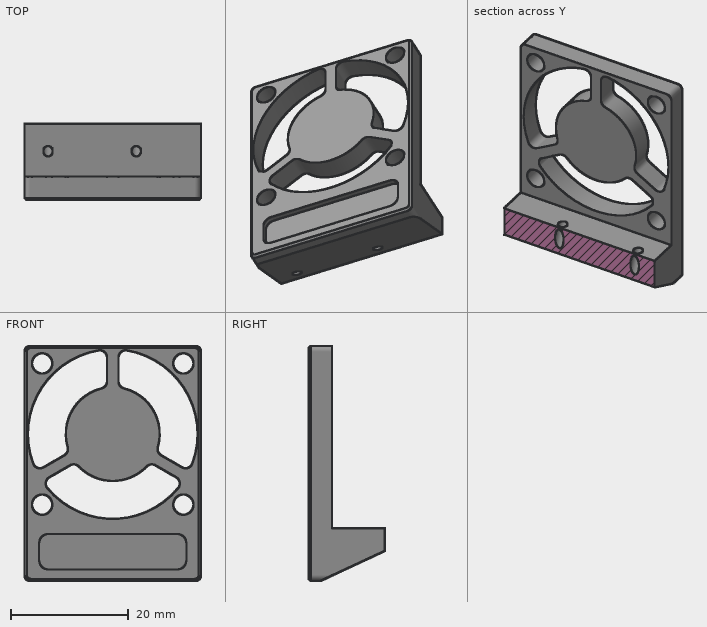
import cadquery as cq
import math

plate_width = 30.0
plate_height = 40.0
plate_thickness = 4.0
corner_radius = 1.0
front_chamfer = 0.4

fan_center_z = 25.0
fan_hole_pitch = 24.0
fan_hole_diameter = 3.4
opening_radius = 14.4
hub_radius = 8.0
spoke_width = 2.0
spoke_angles = (90, 210, 330)
opening_fillet = 1.2

panel_width = 25.0
panel_height = 6.0
panel_center_z = 5.0
panel_depth = 1.0
panel_corner_radius = 1.5

shelf_back_y = 13.0
shelf_top_z = 9.0
slope_start_y = 2.0
slope_angle = 25.0

screw_hole_diameter = 1.6
screw_hole_x = (-11.0, 4.0)
screw_hole_y = 8.3


def slope_z(y):
    """Height of the sloped underside at depth y."""
    return (y - slope_start_y) * math.tan(math.radians(slope_angle))


def front_plane(z):
    """Sketch plane on the front face, facing into the part; its local x is -X."""
    return cq.Workplane(cq.Plane(origin=(0, 0, z), xDir=(-1, 0, 0), normal=(0, 1, 0)))


def make_plate():
    plate = front_plane(plate_height / 2).rect(plate_width, plate_height).extrude(plate_thickness)
    plate = plate.edges("|Y").fillet(corner_radius)
    plate = plate.faces("<Y").chamfer(front_chamfer)
    return plate.cut(make_underside_cut())


def make_underside_cut():
    """Wedge below the sloped underside, across the full width of the plate."""
    return (
        cq.Workplane("YZ")
        .moveTo(slope_start_y, 0)
        .lineTo(shelf_back_y, slope_z(shelf_back_y))
        .lineTo(shelf_back_y, 0)
        .close()
        .extrude(plate_width / 2, both=True)
    )


def make_shelf():
    return (
        cq.Workplane("YZ")
        .moveTo(plate_thickness, slope_z(plate_thickness))
        .lineTo(shelf_back_y, slope_z(shelf_back_y))
        .lineTo(shelf_back_y, shelf_top_z)
        .lineTo(plate_thickness, shelf_top_z)
        .close()
        .extrude(plate_width / 2, both=True)
    )


def make_fan_openings():
    """Ring between hub and opening edge, split by the spokes, with rounded corners."""
    ring = front_plane(fan_center_z).circle(opening_radius).circle(hub_radius).extrude(plate_thickness)
    for angle in spoke_angles:
        spoke = (
            front_plane(fan_center_z)
            .transformed(rotate=(0, 0, angle))
            .center(opening_radius / 2, 0)
            .rect(opening_radius + spoke_width, spoke_width)
            .extrude(plate_thickness)
        )
        ring = ring.cut(spoke)
    return ring.edges("|Y").fillet(opening_fillet)


def make_fan_holes():
    return (
        front_plane(fan_center_z)
        .rect(fan_hole_pitch, fan_hole_pitch, forConstruction=True)
        .vertices()
        .circle(fan_hole_diameter / 2)
        .extrude(plate_thickness)
    )


def make_panel_recess():
    recess = front_plane(panel_center_z).rect(panel_width, panel_height).extrude(panel_depth)
    return recess.edges("|Y").fillet(panel_corner_radius)


def make_screw_hole(x):
    """Cylinder through the shelf, leaning back as it goes down; it starts just above the shelf top."""
    lean = math.radians(slope_angle)
    hole_plane = cq.Plane(
        origin=(x, screw_hole_y, shelf_top_z),
        xDir=(1, 0, 0),
        normal=(0, math.sin(lean), -math.cos(lean)),
    )
    return (
        cq.Workplane(hole_plane)
        .workplane(offset=-screw_hole_diameter)
        .circle(screw_hole_diameter / 2)
        .extrude(screw_hole_diameter + shelf_top_z)
    )


result = make_plate().union(make_shelf())
result = result.cut(make_fan_openings())
result = result.cut(make_fan_holes())
result = result.cut(make_panel_recess())
for hole_x in screw_hole_x:
    result = result.cut(make_screw_hole(hole_x))